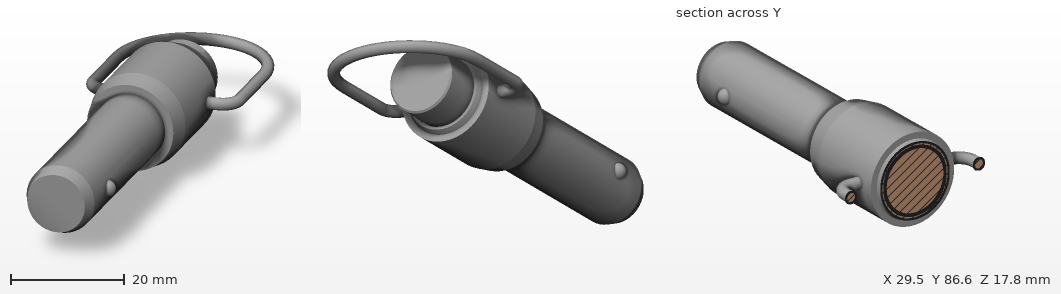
import cadquery as cq
import math

shank_radius = 6.3
bore_radius = 6.5
bore_depth = 0.9
tip_radius = 5.4
tip_length = 2.4

body_diameter = 17.75
body_radius = body_diameter / 2
body_start = 43.65
body_end = 59.85
skirt_radius = 8.05
skirt_start = 39.6

collar_base_radius = 7.6
collar_top_radius = 7.0
collar_end = 61.0

button_end = 68.6
button_chamfer = 0.35

ball_radius = 1.5
ball_center_y = 10.2
ball_reach = 7.5

total_length = 86.6
ring_width = 29.45
wire_radius = 1.1
wire_bend_radius = 3.0
leg_y = 55.9
leg_depth = 1.7


def make_pin():
    """Revolve the stepped half-profile of shank, body, collar and button about Y."""
    return (
        cq.Workplane("XY")
        .lineTo(tip_radius, 0)
        .lineTo(shank_radius, tip_length)
        .lineTo(shank_radius, skirt_start + bore_depth)
        .lineTo(bore_radius, skirt_start + bore_depth)
        .lineTo(bore_radius, skirt_start)
        .lineTo(skirt_radius, skirt_start)
        .lineTo(body_radius, body_start)
        .lineTo(body_radius, body_end)
        .lineTo(collar_base_radius, body_end)
        .lineTo(collar_top_radius, collar_end)
        .lineTo(bore_radius, collar_end)
        .lineTo(bore_radius, collar_end - bore_depth)
        .lineTo(shank_radius, collar_end - bore_depth)
        .lineTo(shank_radius, button_end - button_chamfer)
        .lineTo(shank_radius - button_chamfer, button_end)
        .lineTo(0, button_end)
        .close()
        .revolve(360, (0, 0), (0, 1))
    )


def make_ring():
    """Sweep the round wire from one side of the body, over the top, to the other side."""
    half_width = ring_width / 2 - wire_radius
    arc_center_y = total_length - ring_width / 2
    bend_x = half_width - wire_bend_radius
    bend_y = leg_y + wire_bend_radius
    mid_offset = wire_bend_radius * math.sqrt(0.5)
    mid_x = bend_x + mid_offset
    mid_y = bend_y - mid_offset
    leg_end_x = body_radius - leg_depth
    path = (
        cq.Workplane("XY")
        .moveTo(leg_end_x, leg_y)
        .lineTo(bend_x, leg_y)
        .threePointArc((mid_x, mid_y), (half_width, bend_y))
        .lineTo(half_width, arc_center_y)
        .threePointArc((0, arc_center_y + half_width), (-half_width, arc_center_y))
        .lineTo(-half_width, bend_y)
        .threePointArc((-mid_x, mid_y), (-bend_x, leg_y))
        .lineTo(-leg_end_x, leg_y)
    )
    return (
        cq.Workplane("YZ", origin=(leg_end_x, leg_y, 0))
        .circle(wire_radius)
        .sweep(path)
    )


def make_ball(side):
    """Locking ball protruding from the shank on the given side (+1 or -1)."""
    center_x = side * (ball_reach - ball_radius)
    return cq.Workplane("XY").sphere(ball_radius).translate((center_x, ball_center_y, 0))


result = make_pin().union(make_ring())
for side in (-1, 1):
    result = result.union(make_ball(side))